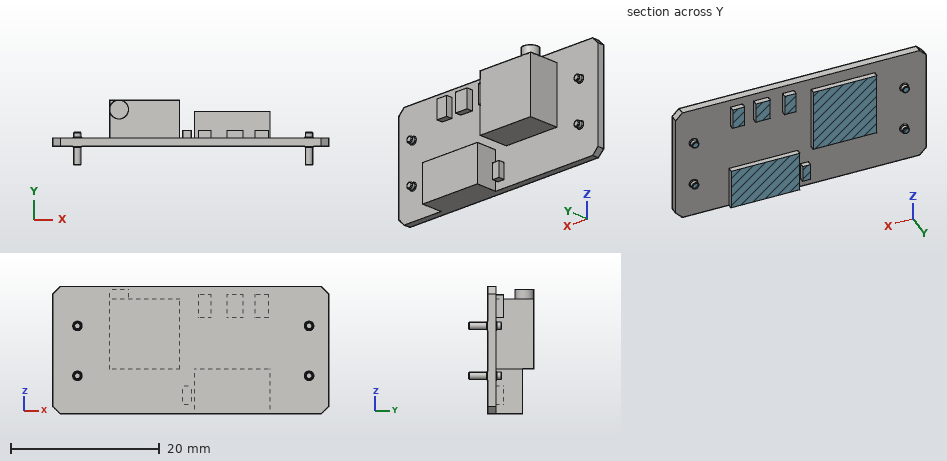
import cadquery as cq

BOARD_LENGTH = 37.08
BOARD_HEIGHT = 17.14
BOARD_THICKNESS = 1.14
BOARD_CORNER = 1.016

PIN_DIAMETER = 1.016
PIN_FRONT_LENGTH = 2.54
PIN_REAR_LENGTH = 0.76
PIN_BEVEL = 0.127
PIN_X_POSITIONS = (-15.22, 15.89)
PIN_Z_POSITIONS = (-3.45, 3.25)

TRIMMER_SIDE = 9.4
TRIMMER_DEPTH = 5.08
TRIMMER_LEFT = -10.9
TRIMMER_BOTTOM = -2.53
SCREW_DIAMETER = 2.54
SCREW_LENGTH = 1.3

CONNECTOR_LEFT = 0.5
CONNECTOR_WIDTH = 10.16
CONNECTOR_DEPTH = 3.56
CONNECTOR_BOTTOM = -BOARD_HEIGHT / 2
CONNECTOR_HEIGHT = TRIMMER_BOTTOM - CONNECTOR_BOTTOM

CHIP_DEPTH = 1.016
LOWER_CHIP_LEFT = -1.08
LOWER_CHIP_WIDTH = 1.15
LOWER_CHIP_BOTTOM = -7.31
LOWER_CHIP_HEIGHT = 2.47
UPPER_CHIP_TOP = 7.44
UPPER_CHIP_HEIGHT = 3.05
UPPER_CHIPS = ((1.06, 1.68), (4.84, 2.16), (8.64, 1.8))


def make_board():
    return (
        cq.Workplane("XY")
        .box(BOARD_LENGTH, BOARD_THICKNESS, BOARD_HEIGHT, centered=(True, False, True))
        .edges("|Y")
        .chamfer(BOARD_CORNER)
    )


def rear_block(left, bottom, width, depth, height):
    """Block standing on the rear face of the board."""
    return (
        cq.Workplane("XY")
        .box(width, depth, height, centered=False)
        .translate((left, BOARD_THICKNESS, bottom))
    )


def make_pin(x, z):
    """Pin along Y, with chamfered tips and a short conical flare against each board face."""
    radius = PIN_DIAMETER / 2
    tip_radius = radius - PIN_BEVEL
    flare_radius = radius + PIN_BEVEL
    front_tip = -PIN_FRONT_LENGTH
    rear_face = BOARD_THICKNESS
    rear_tip = rear_face + PIN_REAR_LENGTH
    half_profile = [
        (0, front_tip),
        (tip_radius, front_tip),
        (radius, front_tip + PIN_BEVEL),
        (radius, -PIN_BEVEL),
        (flare_radius, 0),
        (flare_radius, rear_face),
        (radius, rear_face + PIN_BEVEL),
        (radius, rear_tip - PIN_BEVEL),
        (tip_radius, rear_tip),
        (0, rear_tip),
    ]
    return (
        cq.Workplane("XY")
        .polyline(half_profile)
        .close()
        .revolve(360, (0, 0, 0), (0, 1, 0))
        .translate((x, 0, z))
    )


def make_trimmer():
    body = rear_block(TRIMMER_LEFT, TRIMMER_BOTTOM, TRIMMER_SIDE, TRIMMER_DEPTH, TRIMMER_SIDE)
    screw_radius = SCREW_DIAMETER / 2
    screw_x = TRIMMER_LEFT + screw_radius
    screw_y = BOARD_THICKNESS + TRIMMER_DEPTH - screw_radius
    screw = (
        cq.Workplane("XY")
        .circle(screw_radius)
        .extrude(SCREW_LENGTH)
        .translate((screw_x, screw_y, TRIMMER_BOTTOM + TRIMMER_SIDE))
    )
    return body.union(screw)


def make_connector():
    return rear_block(
        CONNECTOR_LEFT, CONNECTOR_BOTTOM, CONNECTOR_WIDTH, CONNECTOR_DEPTH, CONNECTOR_HEIGHT
    )


def make_chips():
    chips = rear_block(
        LOWER_CHIP_LEFT, LOWER_CHIP_BOTTOM, LOWER_CHIP_WIDTH, CHIP_DEPTH, LOWER_CHIP_HEIGHT
    )
    upper_chip_bottom = UPPER_CHIP_TOP - UPPER_CHIP_HEIGHT
    for left, width in UPPER_CHIPS:
        chips = chips.add(rear_block(left, upper_chip_bottom, width, CHIP_DEPTH, UPPER_CHIP_HEIGHT))
    return chips.combine()


result = make_board().union(make_trimmer()).union(make_connector()).union(make_chips())
for pin_x in PIN_X_POSITIONS:
    for pin_z in PIN_Z_POSITIONS:
        result = result.union(make_pin(pin_x, pin_z))